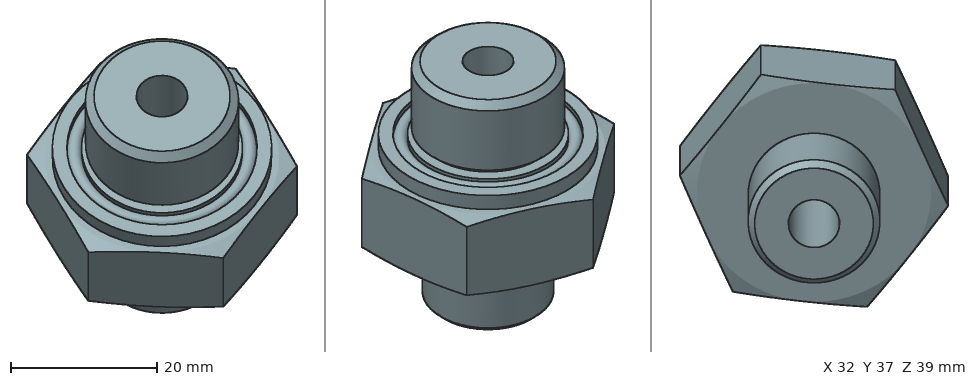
import cadquery as cq
import math

total_height = 39.0
hex_bottom = 12.0
hex_top = 24.7
flange_top = 27.0

across_flats = 32.0
across_corners = across_flats / math.cos(math.radians(30))
corner_chamfer_angle = 15.0

lower_stud_diameter = 18.0
lower_stud_chamfer = 0.9
upper_stud_diameter = 20.95
upper_stud_chamfer = 1.17
upper_stud_chamfer_height = 1.1
bore_diameter = 7.0

flange_diameter = 30.0
seal_inner_diameter = 22.0
seal_outer_diameter = 26.0
seal_center_depth = 1.0


def stud(diameter, bottom, top, chamfer, chamfer_height):
    """Round stud tapered at both its tip and its root."""
    radius = diameter / 2
    end_radius = radius - chamfer
    profile = (
        cq.Workplane("XZ")
        .moveTo(0, bottom)
        .lineTo(end_radius, bottom)
        .lineTo(radius, bottom + chamfer_height)
        .lineTo(radius, top - chamfer_height)
        .lineTo(end_radius, top)
        .lineTo(0, top)
        .close()
    )
    return profile.revolve(360, (0, 0), (0, 1))


def hex_body():
    """Hexagonal prism whose corners are turned down to a shallow cone at both ends."""
    prism = (
        cq.Workplane("XY", origin=(0, 0, hex_bottom))
        .polygon(6, across_corners)
        .extrude(hex_top - hex_bottom)
        .rotate((0, 0, 0), (0, 0, 1), 30)
    )
    face_radius = across_flats / 2
    corner_radius = across_corners / 2
    outer_radius = 1.1 * corner_radius
    drop = (outer_radius - face_radius) * math.tan(math.radians(corner_chamfer_angle))
    envelope = (
        cq.Workplane("XZ")
        .moveTo(0, hex_bottom)
        .lineTo(face_radius, hex_bottom)
        .lineTo(outer_radius, hex_bottom + drop)
        .lineTo(outer_radius, hex_top - drop)
        .lineTo(face_radius, hex_top)
        .lineTo(0, hex_top)
        .close()
        .revolve(360, (0, 0), (0, 1))
    )
    return prism.intersect(envelope)


def sealing_flange():
    """Flange disc with an annular groove filled by a round-section seal ring."""
    inner_radius = seal_inner_diameter / 2
    outer_radius = seal_outer_diameter / 2
    ring_radius = (outer_radius - inner_radius) / 2
    center_height = flange_top - seal_center_depth
    profile = (
        cq.Workplane("XZ")
        .moveTo(0, hex_top)
        .lineTo(flange_diameter / 2, hex_top)
        .lineTo(flange_diameter / 2, flange_top)
        .lineTo(outer_radius, flange_top)
        .lineTo(outer_radius, center_height)
        .threePointArc(
            (inner_radius + ring_radius, center_height + ring_radius),
            (inner_radius, center_height),
        )
        .lineTo(inner_radius, flange_top)
        .lineTo(0, flange_top)
        .close()
    )
    return profile.revolve(360, (0, 0), (0, 1))


lower_stud = stud(lower_stud_diameter, 0, hex_bottom, lower_stud_chamfer, lower_stud_chamfer)
upper_stud = stud(
    upper_stud_diameter, flange_top, total_height, upper_stud_chamfer, upper_stud_chamfer_height
)
bore = cq.Workplane("XY").circle(bore_diameter / 2).extrude(total_height)

result = hex_body().union(sealing_flange()).union(lower_stud).union(upper_stud).cut(bore)